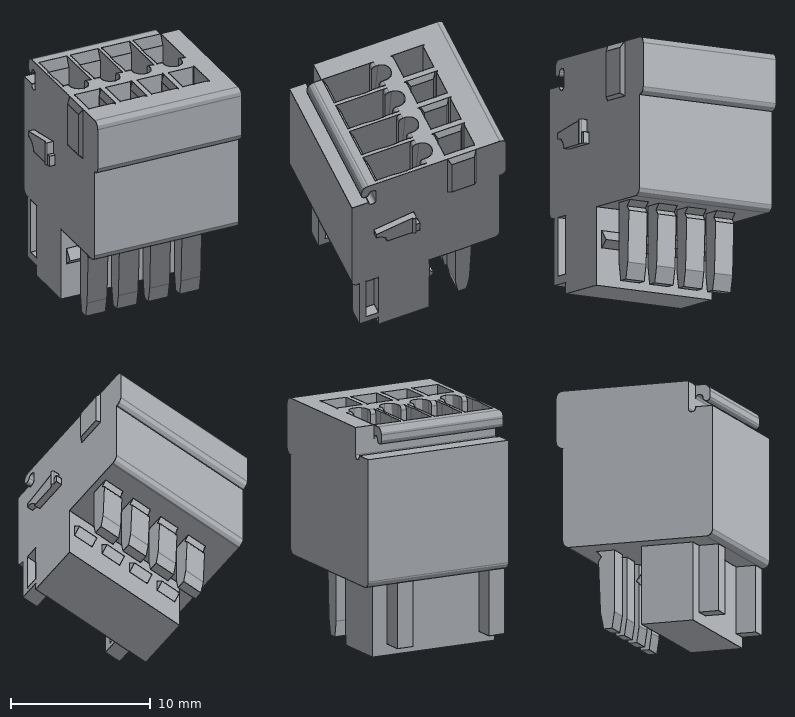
import cadquery as cq

MODULE_COUNT = 4
PITCH = 2.5
END_PLATE = 1.5
HEIGHT = 17.25
WIDTH = 12.0
ROW = MODULE_COUNT * PITCH

CORNER_R = 0.5
HOUSING_BOTTOM = 5.73
STEP_TOP = 15.28
OVERHANG_BOTTOM = 13.04
HOUSING_RIGHT = WIDTH - CORNER_R
HOOK_LEFT = 0.76
HOOK_TIP_Z = 16.03
GROOVE_LEFT = 1.31
GROOVE_RIGHT = 1.86
GROOVE_BOTTOM = 14.94
GROOVE_TOP = 16.53
GROOVE_MIDDLE = (GROOVE_LEFT + GROOVE_RIGHT) / 2
GROOVE_R = (GROOVE_RIGHT - GROOVE_LEFT) / 2

PLUG_LEFT = 2.07
PLUG_RIGHT = 6.02
BARB_REACH = 0.57
BARB_TOP, BARB_TIP, BARB_BOTTOM = 4.04, 3.3, 2.78
CONTACT_WIDTH = 1.59

PIN_LEFT = 8.26
PIN_ROOT_RIGHT = 9.65
PIN_NOTCH_X, PIN_NOTCH_Z = 9.26, 5.31
PIN_SHOULDER_X, PIN_SHOULDER_Z = 9.5, 4.97
PIN_TAPER_X, PIN_TAPER_Z = 9.35, 1.2
PIN_TIP_LEFT, PIN_TIP_RIGHT = 8.45, 9.1

RAIL_LEFT = 0.57
RAIL_BOTTOM = 0.83
RAIL_WIDTH = 1.3
RAIL_SLOT_LEFT = 1.1
RAIL_SLOT_BOTTOM = 1.45
RAIL_SLOT_DEPTH = 0.8

ENTRY_DEPTH = 5.18
ENTRY_LEFT = 1.91
ENTRY_RIGHT = 5.59
ENTRY_LEAD = 0.35
ENTRY_LEAD_DEPTH = 0.78
ENTRY_WALL = 0.28
ENTRY_EDGE_R = 0.31
SCOOP_CENTRE_X = 4.09
SCOOP_CHORD = 1.55
SCOOP_SAG = 0.07
BORE_D = 1.4
BORE_CENTRE_Y = 1.4
BORE_TOP_X = 6.09
BORE_FLOOR_X = 5.73

POCKET_LEFT, POCKET_RIGHT = 7.38, 9.73
POCKET_WALL = 0.41
POCKET_DEPTH = 5.18
POCKET_FLARE = 0.1
PAD_LEFT, PAD_RIGHT = 7.43, 9.65
PAD_BOTTOM = 13.23
PAD_PROUD = 0.26
PAD_SIDE_BEVEL = 0.22
PAD_TOP_BEVEL = 0.47

LUG_LEFT = 1.7
LUG_RIGHT = 4.8
LUG_BOTTOM = 10.49
LUG_TAIL_BOTTOM, LUG_TAIL_TOP = 11.32, 11.73
LUG_TOP = 12.28
LUG_PROUD = 0.47
LUG_RIDGE_PROUD = 0.59
LUG_RIDGE_LEFT = 4.5
LUG_STEP_RIGHT = 5.09


def box(x0, x1, y0, y1, z0, z1):
    return cq.Workplane("XY").box(x1 - x0, y1 - y0, z1 - z0, centered=False).translate((x0, y0, z0))


def along_y(outline, y0, y1):
    """Extrude a closed XZ outline from y0 to y1."""
    return outline.close().extrude(y0 - y1).translate((0, y0, 0))


def xz(x, z):
    return cq.Workplane("XZ").moveTo(x, z)


def housing(y0, y1):
    """Housing without the hook; its left edge follows the right wall of the groove."""
    outline = (
        xz(CORNER_R, HOUSING_BOTTOM)
        .lineTo(HOUSING_RIGHT - CORNER_R, HOUSING_BOTTOM)
        .radiusArc((HOUSING_RIGHT, HOUSING_BOTTOM + CORNER_R), -CORNER_R)
        .lineTo(HOUSING_RIGHT, OVERHANG_BOTTOM)
        .radiusArc((WIDTH, OVERHANG_BOTTOM + CORNER_R), -CORNER_R)
        .lineTo(WIDTH, HEIGHT - CORNER_R)
        .radiusArc((WIDTH - CORNER_R, HEIGHT), -CORNER_R)
        .lineTo(GROOVE_RIGHT, HEIGHT)
        .lineTo(GROOVE_RIGHT, GROOVE_BOTTOM + GROOVE_R)
        .threePointArc((GROOVE_MIDDLE, GROOVE_BOTTOM), (GROOVE_LEFT, GROOVE_BOTTOM + GROOVE_R))
        .lineTo(GROOVE_LEFT, STEP_TOP)
        .lineTo(0, STEP_TOP)
        .lineTo(0, HOUSING_BOTTOM + CORNER_R)
        .radiusArc((CORNER_R, HOUSING_BOTTOM), -CORNER_R)
    )
    return along_y(outline, y0, y1)


def hook(y0, y1):
    tip_r = (GROOVE_LEFT - HOOK_LEFT) / 2
    outline = (
        xz(GROOVE_RIGHT, HEIGHT)
        .lineTo(HOOK_LEFT + CORNER_R, HEIGHT)
        .radiusArc((HOOK_LEFT, HEIGHT - CORNER_R), -CORNER_R)
        .lineTo(HOOK_LEFT, HOOK_TIP_Z + tip_r)
        .threePointArc((HOOK_LEFT + tip_r, HOOK_TIP_Z), (GROOVE_LEFT, HOOK_TIP_Z + tip_r))
        .threePointArc((GROOVE_MIDDLE, GROOVE_TOP), (GROOVE_RIGHT, GROOVE_TOP - GROOVE_R))
    )
    return along_y(outline, y0, y1)


def barb(y0, y1):
    outline = (
        xz(PLUG_RIGHT, BARB_BOTTOM)
        .lineTo(PLUG_RIGHT + BARB_REACH, BARB_TIP)
        .lineTo(PLUG_RIGHT, BARB_TOP)
    )
    return along_y(outline, y0, y1)


def pin(y0, y1):
    """Tapered latch pin with a notch below the housing."""
    outline = (
        xz(PIN_LEFT, HOUSING_BOTTOM)
        .lineTo(PIN_LEFT, PIN_TAPER_Z)
        .lineTo(PIN_TIP_LEFT, 0)
        .lineTo(PIN_TIP_RIGHT, 0)
        .lineTo(PIN_TAPER_X, PIN_TAPER_Z)
        .lineTo(PIN_SHOULDER_X, PIN_SHOULDER_Z)
        .lineTo(PIN_NOTCH_X, PIN_NOTCH_Z)
        .lineTo(PIN_ROOT_RIGHT, HOUSING_BOTTOM)
    )
    return along_y(outline, y0, y1)


def rail(y0):
    body = box(RAIL_LEFT, PLUG_LEFT, y0, y0 + RAIL_WIDTH, RAIL_BOTTOM, HOUSING_BOTTOM)
    slot = box(RAIL_SLOT_LEFT, PLUG_LEFT, y0, y0 + RAIL_SLOT_DEPTH, RAIL_SLOT_BOTTOM, HOUSING_BOTTOM)
    return body.cut(slot)


def wire_entry(y0):
    """Deep pocket with a lead-in on the left wall, a rounded right edge and a leaning half-round bore."""
    floor = HEIGHT - ENTRY_DEPTH
    back = y0 + PITCH
    outline = (
        xz(ENTRY_LEFT, HEIGHT)
        .lineTo(ENTRY_LEFT + ENTRY_LEAD, HEIGHT - ENTRY_LEAD_DEPTH)
        .lineTo(ENTRY_LEFT + ENTRY_LEAD, floor)
        .lineTo(ENTRY_RIGHT, floor)
        .lineTo(ENTRY_RIGHT, HEIGHT - ENTRY_EDGE_R)
        .radiusArc((ENTRY_RIGHT + ENTRY_EDGE_R, HEIGHT), ENTRY_EDGE_R)
    )
    pocket = along_y(outline, y0 + ENTRY_WALL, back)

    scoop = (
        cq.Workplane("XY", origin=(SCOOP_CENTRE_X, y0 + ENTRY_WALL, floor))
        .moveTo(-SCOOP_CHORD / 2, 0)
        .sagittaArc((SCOOP_CHORD / 2, 0), -SCOOP_SAG)
        .close()
        .extrude(ENTRY_DEPTH)
    )

    bore_y = y0 + BORE_CENTRE_Y
    bore = (
        cq.Workplane("XY", origin=(BORE_FLOOR_X, bore_y, floor))
        .circle(BORE_D / 2)
        .workplane(offset=ENTRY_DEPTH)
        .center(BORE_TOP_X - BORE_FLOOR_X, 0)
        .circle(BORE_D / 2)
        .loft()
    )
    throat_left = ENTRY_RIGHT - ENTRY_EDGE_R
    throat_outline = (
        xz(throat_left, floor)
        .lineTo(BORE_FLOOR_X, floor)
        .lineTo(BORE_TOP_X, HEIGHT)
        .lineTo(throat_left, HEIGHT)
    )
    throat = along_y(throat_outline, bore_y - BORE_D / 2, bore_y + BORE_D / 2)
    return pocket.union(scoop).union(bore).union(throat)


def release_pocket(y0):
    front, back = y0 + POCKET_WALL, y0 + PITCH
    return (
        cq.Workplane("XY", origin=(0, 0, HEIGHT - POCKET_DEPTH))
        .polyline(
            [
                (POCKET_LEFT, front),
                (POCKET_RIGHT, front),
                (POCKET_RIGHT, back - POCKET_FLARE),
                (POCKET_RIGHT + POCKET_FLARE, back),
                (POCKET_LEFT - POCKET_FLARE, back),
                (POCKET_LEFT, back - POCKET_FLARE),
            ]
        )
        .close()
        .extrude(POCKET_DEPTH)
    )


def pad(y0):
    """Bevelled pad standing proud of a module's front face."""
    front = y0 - PAD_PROUD
    plan = (
        cq.Workplane("XY", origin=(0, 0, PAD_BOTTOM))
        .polyline(
            [
                (PAD_LEFT, y0),
                (PAD_LEFT + PAD_SIDE_BEVEL, front),
                (PAD_RIGHT - PAD_SIDE_BEVEL, front),
                (PAD_RIGHT, y0),
            ]
        )
        .close()
        .extrude(HEIGHT - PAD_BOTTOM)
    )
    side = (
        cq.Workplane("YZ", origin=(PAD_LEFT, 0, 0))
        .polyline(
            [
                (y0, PAD_BOTTOM),
                (front, PAD_BOTTOM + PAD_SIDE_BEVEL),
                (front, HEIGHT - PAD_TOP_BEVEL),
                (y0, HEIGHT),
            ]
        )
        .close()
        .extrude(PAD_RIGHT - PAD_LEFT)
    )
    return plan.intersect(side)


def lug():
    """Wedge-shaped lug with a rounded ridge along its tall end and a small step beside it."""
    scoop_r = LUG_TAIL_BOTTOM - LUG_BOTTOM
    outline = (
        xz(LUG_LEFT, LUG_TAIL_BOTTOM)
        .radiusArc((LUG_LEFT + scoop_r, LUG_BOTTOM), scoop_r)
        .lineTo(LUG_RIGHT, LUG_BOTTOM)
        .lineTo(LUG_RIGHT, LUG_TOP)
        .lineTo(LUG_LEFT, LUG_TAIL_TOP)
    )
    wedge = along_y(outline, -LUG_RIDGE_PROUD, 0)
    plan = (
        cq.Workplane("XY", origin=(0, 0, LUG_BOTTOM))
        .moveTo(LUG_LEFT, 0)
        .lineTo(LUG_LEFT, -LUG_PROUD)
        .lineTo(LUG_RIDGE_LEFT, -LUG_PROUD)
        .threePointArc(
            ((LUG_RIDGE_LEFT + LUG_RIGHT) / 2, -LUG_RIDGE_PROUD),
            (LUG_RIGHT, -LUG_PROUD),
        )
        .lineTo(LUG_RIGHT, 0)
        .close()
        .extrude(LUG_TOP - LUG_BOTTOM)
    )
    step = box(LUG_RIGHT, LUG_STEP_RIGHT, -LUG_PROUD, 0, LUG_BOTTOM, LUG_TAIL_BOTTOM)
    return wedge.intersect(plan).union(step)


module_fronts = [i * PITCH for i in range(MODULE_COUNT)]

result = housing(0, ROW + END_PLATE)
result = result.union(hook(0, ROW))
result = result.union(box(PLUG_LEFT, PLUG_RIGHT, 0, ROW, 0, HOUSING_BOTTOM))

for y in (module_fronts[0], module_fronts[-1]):
    result = result.union(rail(y))

for y in module_fronts:
    contact_front = y + (PITCH - CONTACT_WIDTH) / 2
    contact_back = contact_front + CONTACT_WIDTH
    result = result.union(barb(contact_front, contact_back))
    result = result.union(pin(contact_front, contact_back))
    result = result.cut(wire_entry(y))
    result = result.cut(release_pocket(y))

for y in module_fronts:
    result = result.union(pad(y))

result = result.union(lug())